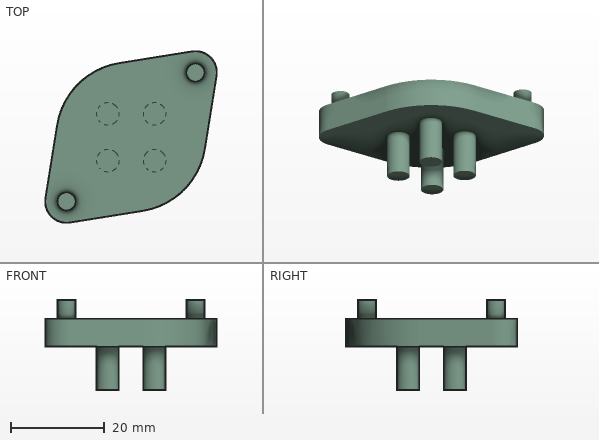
import cadquery as cq
import math

plate_size = 36.72
plate_thickness = 6.0
disc_radius = 16.0
tip_radius = 4.6
tip_offset = plate_size / 2 - tip_radius

top_pin_diameter = 3.9
top_pin_length = 4.0

leg_diameter = 4.8
leg_length = 9.25
leg_spacing = 10.0

tip_centers = [(tip_offset, tip_offset), (-tip_offset, -tip_offset)]


def polar(center, radius, angle):
    return (center[0] + radius * math.cos(angle), center[1] + radius * math.sin(angle))


def make_plate():
    tip_distance = math.hypot(tip_offset, tip_offset)
    long_axis = math.atan2(tip_offset, tip_offset)
    flank = math.acos((disc_radius - tip_radius) / tip_distance)
    far_axis = long_axis + math.pi
    origin = (0, 0)
    upper_tip, lower_tip = tip_centers
    return (
        cq.Workplane("XY")
        .moveTo(*polar(upper_tip, tip_radius, long_axis - flank))
        .threePointArc(
            polar(upper_tip, tip_radius, long_axis),
            polar(upper_tip, tip_radius, long_axis + flank),
        )
        .lineTo(*polar(origin, disc_radius, long_axis + flank))
        .threePointArc(
            polar(origin, disc_radius, long_axis + math.pi / 2),
            polar(origin, disc_radius, far_axis - flank),
        )
        .lineTo(*polar(lower_tip, tip_radius, far_axis - flank))
        .threePointArc(
            polar(lower_tip, tip_radius, far_axis),
            polar(lower_tip, tip_radius, far_axis + flank),
        )
        .lineTo(*polar(origin, disc_radius, far_axis + flank))
        .threePointArc(
            polar(origin, disc_radius, far_axis + math.pi / 2),
            polar(origin, disc_radius, long_axis - flank),
        )
        .close()
        .extrude(plate_thickness)
    )


def make_top_pins():
    return (
        cq.Workplane("XY", origin=(0, 0, plate_thickness))
        .pushPoints(tip_centers)
        .circle(top_pin_diameter / 2)
        .extrude(top_pin_length)
    )


def make_legs():
    return (
        cq.Workplane("XY")
        .rarray(leg_spacing, leg_spacing, 2, 2)
        .circle(leg_diameter / 2)
        .extrude(-leg_length)
    )


result = make_plate().union(make_top_pins()).union(make_legs())